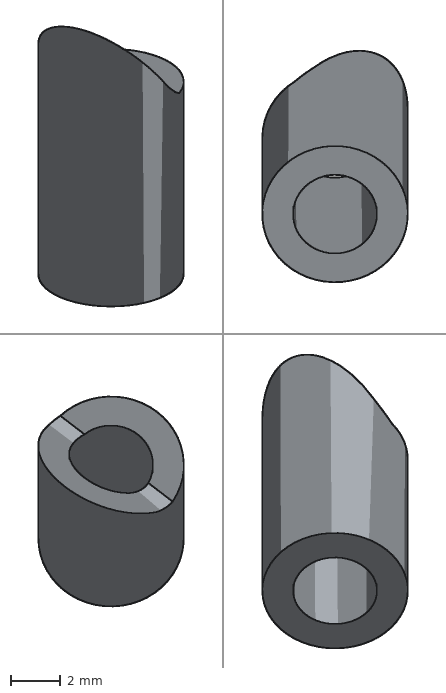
import cadquery as cq

outer_diameter = 5.9
bore_diameter = 3.4
height = 12.45
outer_radius = outer_diameter / 2

ledge_start = (0.35, 8.72)
arc_middle = (-0.16, 9.05)
arc_end = (-0.66, 9.52)
slope_lower = (-1.17, 10.17)
slope_upper = (-2.04, 11.28)
tip = (-outer_radius, height)

clearance = 0.62


def make_tube():
    """Plain round tube standing on the XY plane."""
    return cq.Workplane("XY").circle(outer_radius).circle(bore_diameter / 2).extrude(height)


def make_end_cutter():
    """Solid above the shaped end, running the full width along X."""
    reach = outer_radius + clearance
    cutter_top = height + clearance
    return (
        cq.Workplane("YZ", origin=(-reach, 0, 0))
        .moveTo(*ledge_start)
        .threePointArc(arc_middle, arc_end)
        .spline([slope_lower, slope_upper, tip], includeCurrent=True)
        .lineTo(tip[0], cutter_top)
        .lineTo(reach, cutter_top)
        .lineTo(reach, ledge_start[1])
        .close()
        .extrude(2 * reach)
    )


result = make_tube().cut(make_end_cutter())